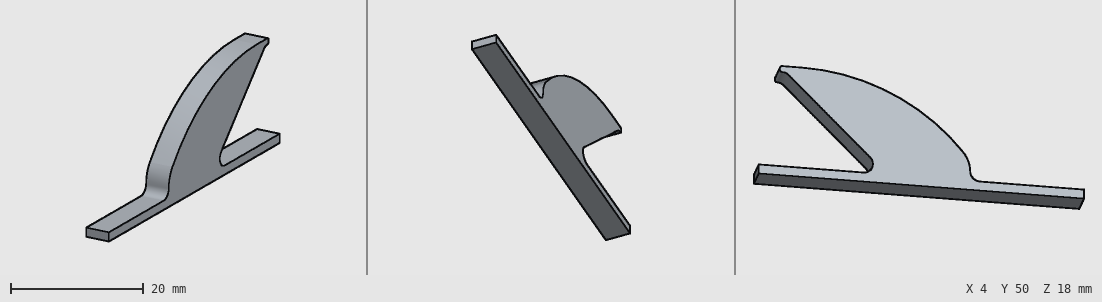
import cadquery as cq
import math

length = 50.0
width = 4.0
base_thickness = 1.5

height = 18.0
front_y = -7.5
root_rear_y = 7.45
tip_y = 21.75
tip_thickness = 1.0
crest_y = 18.3
root_radius = 1.5
nose_radius = 5.0
tip_blend_radius = 1.25
tip_corner_radius = 0.35
trailing_angle = math.radians(45)

nose_center_y = front_y + nose_radius
nose_center_z = base_thickness + root_radius

run = crest_y - nose_center_y
rise = height - nose_center_z
back_radius = (run**2 + rise**2 - nose_radius**2) / (2 * (rise - nose_radius))
back_center_z = height - back_radius
join_angle = math.atan2(nose_center_z - back_center_z, nose_center_y - crest_y)

notch_center_y = root_rear_y + root_radius
notch_center_z = base_thickness + root_radius
notch_end_angle = math.pi / 2 + trailing_angle
tip_bottom_z = height - tip_thickness


def on_circle(center_y, center_z, radius, angle):
    """Point (Y, Z) on a circle at an angle measured from +Y towards +Z."""
    return center_y + radius * math.cos(angle), center_z + radius * math.sin(angle)


def nose_point(angle):
    return on_circle(nose_center_y, nose_center_z, nose_radius, angle)


def back_point(angle):
    return on_circle(crest_y, back_center_z, back_radius, angle)


def notch_point(angle):
    return on_circle(notch_center_y, notch_center_z, root_radius, angle)


front_root_middle = on_circle(
    front_y - root_radius, base_thickness + root_radius, root_radius, math.radians(-45)
)
notch_end = notch_point(notch_end_angle)
notch_middle = notch_point((notch_end_angle + 3 * math.pi / 2) / 2)
tip_bend_y = notch_end[0] + (tip_bottom_z - notch_end[1]) / math.tan(trailing_angle)

body = (
    cq.Workplane("YZ", origin=(-width / 2, 0, 0))
    .moveTo(-length / 2, 0)
    .lineTo(-length / 2, base_thickness)
    .lineTo(front_y - root_radius, base_thickness)
    .threePointArc(front_root_middle, (front_y, nose_center_z))
    .threePointArc(nose_point((math.pi + join_angle) / 2), nose_point(join_angle))
    .threePointArc(back_point((join_angle + math.pi / 2) / 2), (crest_y, height))
    .lineTo(tip_y, height)
    .lineTo(tip_y, tip_bottom_z)
    .lineTo(tip_bend_y, tip_bottom_z)
    .lineTo(*notch_end)
    .threePointArc(notch_middle, (notch_center_y, base_thickness))
    .lineTo(length / 2, base_thickness)
    .lineTo(length / 2, 0)
    .close()
    .extrude(width)
)


def round_cross_edge(solid, y, z, radius):
    """Fillet the edge running along X through the given (Y, Z) point."""
    return solid.edges(cq.NearestToPointSelector((0, y, z))).fillet(radius)


for corner_z in (tip_bottom_z, height):
    body = round_cross_edge(body, tip_y, corner_z, tip_corner_radius)
result = round_cross_edge(body, tip_bend_y, tip_bottom_z, tip_blend_radius)